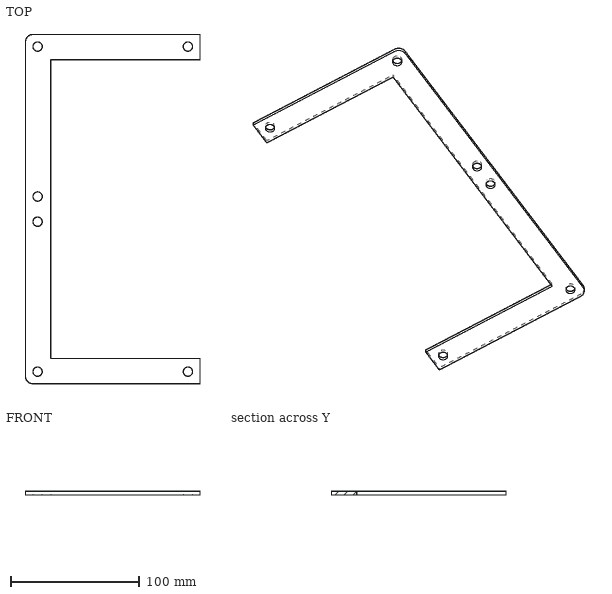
import cadquery as cq

width = 136.5
length = 273.0
thickness = 3.3

band_width = 20.0
corner_radius = 6.0

hole_diameter = 7.0
hole_inset = 9.5
middle_hole_spacing = 19.7

plate = cq.Workplane("XY").box(width, length, thickness, centered=(True, True, False))
plate = plate.edges("|Z and <X").fillet(corner_radius)

opening = cq.Workplane("XY").box(
    width, length - 2 * band_width, thickness, centered=(True, True, False)
).translate((band_width, 0, 0))
frame = plate.cut(opening)

hole_x = width / 2 - hole_inset
hole_y = length / 2 - hole_inset
hole_points = []
for side in (-1, 1):
    hole_points.append((-hole_x, side * hole_y))
    hole_points.append((hole_x, side * hole_y))
    hole_points.append((-hole_x, side * middle_hole_spacing / 2))

holes = cq.Workplane("XY").pushPoints(hole_points).circle(hole_diameter / 2).extrude(thickness)
result = frame.cut(holes)